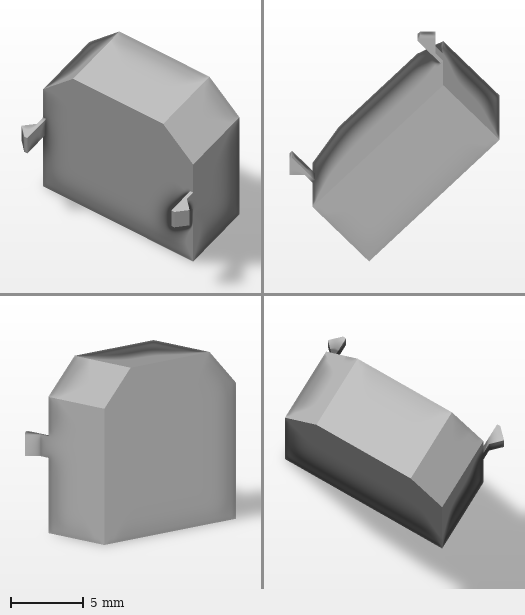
import cadquery as cq

body_width = 12.7
body_depth = 5.588
body_height = 12.192
corner_cut = 2.54

clip_length = 2.286
clip_thickness = 0.254
clip_height = 1.524
barb_reach = 0.762
barb_length = 2 * barb_reach

half_width = body_width / 2


def make_body():
    """Block centred on X and Z, with its -Y face on Y = 0."""
    block = cq.Workplane("XY").box(body_width, body_depth, body_height, centered=(True, False, True))
    return block.faces(">Z").edges("|Y").chamfer(corner_cut)


def make_clip(side):
    """Leg flush with one side of the body; side is -1 for -X and +1 for +X."""
    outer_x = side * half_width
    inner_x = side * (half_width - clip_thickness)
    tip_x = side * (half_width + barb_reach)
    profile = [
        (inner_x, 0),
        (outer_x, 0),
        (outer_x, barb_length - clip_length),
        (tip_x, barb_reach - clip_length),
        (outer_x, -clip_length),
        (inner_x, -clip_length),
    ]
    return cq.Workplane("XY").polyline(profile).close().extrude(clip_height / 2, both=True)


result = make_body()
for side in (-1, 1):
    result = result.union(make_clip(side))